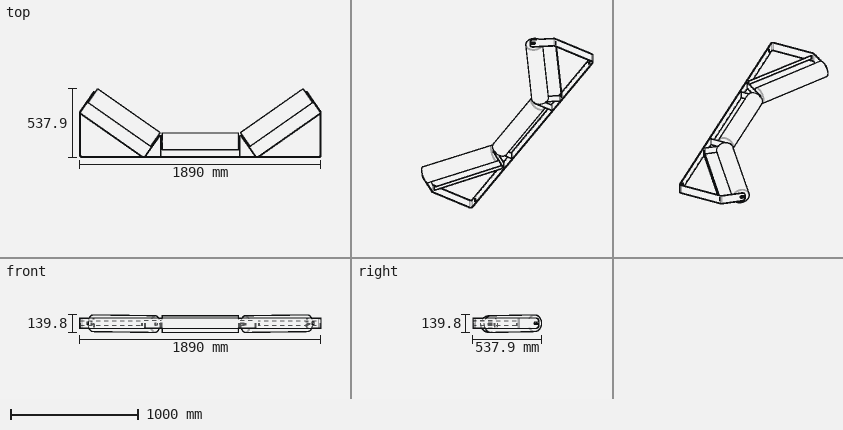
import cadquery as cq
import math


frame_length = 1890.0
bar_width = 80.0
outer_bar = 8.0
outer_bend_radius = 14.0
bracket_bar = 5.0
bracket_width = 60.0
bracket_bend_radius = 6.0
strut_bar = 5.0
strut_width = 35.0
arm_tip_radius = 25.0
mount_hole_width = 14.0
mount_hole_height = 18.0
mount_hole_spacing = 1764.0

roller_length = 600.0
roller_diameter = 133.0
roller_edge_radius = 4.0
shaft_diameter = 20.0
inner_gap = 7.0
outer_gap = 3.5
trough_angle = 35.0
wing_drop = 6.8
middle_roller_y = 127.0
wing_roller_x = 597.0
wing_roller_y = 312.9
arm_tip_reach = 31.0
strut_top_y = 346.0

half_roller = roller_length / 2
inner_bar_middle = half_roller + inner_gap + bracket_bar / 2
outer_bar_middle = half_roller + outer_gap + outer_bar / 2
inner_shaft_end = half_roller + inner_gap + bracket_bar
outer_shaft_end = half_roller + outer_gap + outer_bar
wing_tilt = math.degrees(math.asin(wing_drop / roller_length))
cos_trough = math.cos(math.radians(trough_angle))
sin_trough = math.sin(math.radians(trough_angle))


def beside_wing_roller(along, across):
    """Point placed from the right wing roller's centre: along its axis (outwards) and square to it."""
    return (
        wing_roller_x + along * cos_trough - across * sin_trough,
        wing_roller_y + along * sin_trough + across * cos_trough,
    )


def across_at_x(along, x):
    """Distance square to the right wing roller at which the line at this axial position reaches x."""
    return (wing_roller_x + along * cos_trough - x) / sin_trough


def across_at_y(along, y):
    """Distance square to the right wing roller at which the line at this axial position reaches y."""
    return (y - wing_roller_y - along * sin_trough) / cos_trough


def mirrored(body):
    return body.mirror("YZ")


def bent_bar(points, thickness, width, bend_radius):
    """Flat bar following a centreline in XY, rounded at every inner point."""
    corners = [cq.Vector(x, y, 0) for x, y in points]
    path = cq.Workplane("XY").moveTo(*points[0])
    for before, corner, after in zip(corners, corners[1:], corners[2:]):
        back = (before - corner).normalized()
        ahead = (after - corner).normalized()
        half_angle = back.getAngle(ahead) / 2
        setback = bend_radius / math.tan(half_angle)
        bisector = (back + ahead).normalized()
        crown = corner + bisector * (bend_radius / math.sin(half_angle) - bend_radius)
        start = corner + back * setback
        end = corner + ahead * setback
        path = path.lineTo(start.x, start.y)
        path = path.threePointArc((crown.x, crown.y), (end.x, end.y))
    path = path.lineTo(*points[-1])
    start_plane = cq.Plane(origin=corners[0], xDir=(0, 0, 1), normal=corners[1] - corners[0])
    return cq.Workplane(start_plane).rect(width, thickness).sweep(path)


def place_wing(body):
    """Move something built around a level roller at the origin to the right wing roller."""
    tilted = body.rotate((0, 0, 0), (0, 1, 0), -wing_tilt)
    turned = tilted.rotate((0, 0, 0), (0, 0, 1), trough_angle)
    return turned.translate((wing_roller_x, wing_roller_y, -wing_drop / 2))


def place_middle(body):
    return body.translate((0, middle_roller_y, -wing_drop))


def make_roller(left_end, right_end):
    """Roller along X with its shaft reaching from left_end to right_end."""
    drum = cq.Workplane("YZ", origin=(-half_roller, 0, 0)).circle(roller_diameter / 2).extrude(roller_length)
    drum = drum.faces("<X or >X").edges().fillet(roller_edge_radius)
    shaft = cq.Workplane("YZ", origin=(left_end, 0, 0)).circle(shaft_diameter / 2).extrude(right_end - left_end)
    return drum.union(shaft)


def shaft_slot(start, end):
    """Cutter for an open-topped slot with a round bottom that seats a shaft between two X positions."""
    slot_depth = roller_diameter
    seat = cq.Workplane("YZ", origin=(start, 0, 0)).circle(shaft_diameter / 2).extrude(end - start)
    throat = cq.Workplane("XY").box(end - start, slot_depth, shaft_diameter, centered=(False, False, True))
    return seat.union(throat.translate((start, 0, 0)))


def make_outer_bar():
    """Base, two uprights and two inclined arms, bent from one bar."""
    upright_x = (frame_length - outer_bar) / 2
    base_y = outer_bar / 2
    tip = beside_wing_roller(outer_bar_middle, arm_tip_reach)
    elbow = beside_wing_roller(outer_bar_middle, across_at_x(outer_bar_middle, upright_x))
    right_half = [(upright_x, base_y), elbow, tip]
    left_half = [(-x, y) for x, y in reversed(right_half)]
    bar = bent_bar(left_half + right_half, outer_bar, bar_width, outer_bend_radius)
    for x, y in (tip, left_half[0]):
        for z in (-bar_width / 2, bar_width / 2):
            tip_corner = cq.selectors.NearestToPointSelector((x, y, z))
            bar = bar.edges(tip_corner).fillet(arm_tip_radius)
    return bar


def make_bracket():
    """Hairpin bracket on the right that holds the inner ends of the middle and right wing rollers."""
    foot_y = outer_bar / 2
    foot = beside_wing_roller(-inner_bar_middle, across_at_y(-inner_bar_middle, foot_y))
    peak = beside_wing_roller(-inner_bar_middle, across_at_x(-inner_bar_middle, inner_bar_middle))
    bracket = bent_bar([foot, peak, (inner_bar_middle, foot_y)], bracket_bar, bracket_width, bracket_bend_radius)
    return bracket.translate((0, 0, -wing_drop))


def make_strut():
    """Brace on the right from the upright to the base, parallel to the wing roller."""
    top = ((frame_length - outer_bar) / 2, strut_top_y)
    foot_y = outer_bar / 2
    foot = (top[0] - (strut_top_y - foot_y) * cos_trough / sin_trough, foot_y)
    return bent_bar([top, foot], strut_bar, strut_width, 0)


def make_frame():
    frame = make_outer_bar()
    for part in (make_bracket(), make_strut()):
        frame = frame.union(part).union(mirrored(part))
    mount_holes = (
        cq.Workplane("XZ")
        .rarray(mount_hole_spacing, 1, 2, 1)
        .rect(mount_hole_width, mount_hole_height)
        .extrude(-outer_bar)
    )
    frame = frame.cut(mount_holes)
    for end in (-inner_shaft_end, outer_shaft_end):
        start = math.copysign(half_roller, end)
        wing_slot = place_wing(shaft_slot(min(start, end), max(start, end)))
        frame = frame.cut(wing_slot).cut(mirrored(wing_slot))
    for start in (-inner_shaft_end, half_roller):
        frame = frame.cut(place_middle(shaft_slot(start, start + inner_gap + bracket_bar)))
    return frame


frame = make_frame()
middle_roller = place_middle(make_roller(-inner_shaft_end, inner_shaft_end))
right_wing_roller = place_wing(make_roller(-inner_shaft_end, outer_shaft_end))
left_wing_roller = mirrored(right_wing_roller)

result = cq.Compound.makeCompound([
    frame.val(),
    middle_roller.val(),
    right_wing_roller.val(),
    left_wing_roller.val(),
])